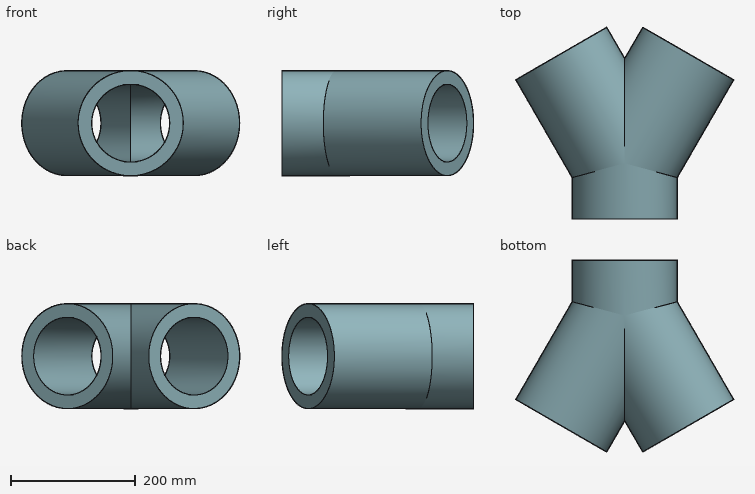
import cadquery as cq
import math

outer_diameter = 168.28
bore_diameter = 124.38
leg_length = 88.9
branch_length = 203.2
branch_angle = 30.0


def pipe_run(diameter, length, direction):
    """Solid cylinder from the centre-line junction out to an end face."""
    return cq.Workplane(cq.Solid.makeCylinder(diameter / 2, length, cq.Vector(0, 0, 0), direction))


def wye(diameter):
    """Leg and both branches at one diameter, joined along their mitres."""
    body = pipe_run(diameter, leg_length, cq.Vector(0, -1, 0))
    for side in (-1, 1):
        angle = math.radians(side * branch_angle)
        branch_direction = cq.Vector(math.sin(angle), math.cos(angle), 0)
        body = body.union(pipe_run(diameter, branch_length, branch_direction))
    return body


result = wye(outer_diameter).cut(wye(bore_diameter))